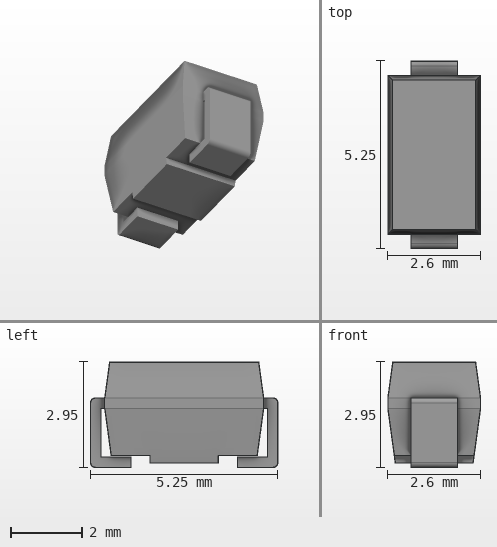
import cadquery as cq
import math

body_width = 2.6
body_length = 4.45
body_top = 2.95
body_bottom = 0.33
belt_bottom = 1.65
draft_angle = 7.8
draft_slope = math.tan(math.radians(draft_angle))

pad_length = 1.915
pad_bottom = 0.125

lead_span = 5.25
lead_width = 1.31
lead_thickness = 0.3
lead_foot_length = 1.14
lead_bend_radius = 0.14
belt_top = belt_bottom + lead_thickness


def drafted_block(start, end):
    """Block with the full body section at height start, narrowing towards height end."""
    inset = 2 * abs(end - start) * draft_slope
    return (
        cq.Workplane("XY", origin=(0, 0, start))
        .rect(body_width, body_length)
        .workplane(offset=end - start)
        .rect(body_width - inset, body_length - inset)
        .loft(combine=True)
    )


def body():
    """Straight belt between two halves that taper away from it."""
    belt = (
        cq.Workplane("XY", origin=(0, 0, belt_bottom))
        .rect(body_width, body_length)
        .extrude(lead_thickness)
    )
    upper_half = drafted_block(belt_top, body_top)
    lower_half = drafted_block(belt_bottom, body_bottom)
    return belt.union(upper_half).union(lower_half)


def standoff_pad():
    """Pad whose sides continue the body taper and whose ends are upright."""
    middle = (
        cq.Workplane("XY", origin=(0, 0, pad_bottom))
        .rect(body_width, pad_length)
        .extrude(belt_bottom - pad_bottom)
    )
    return drafted_block(belt_bottom, pad_bottom).intersect(middle)


def lead():
    """C-shaped lead at the -Y end, leaving the belt and folding under the body."""
    outer_y = -lead_span / 2
    inner_y = outer_y + lead_thickness
    body_end_y = -body_length / 2
    foot_end_y = outer_y + lead_foot_length
    profile = [
        (body_end_y, belt_top),
        (outer_y, belt_top),
        (outer_y, 0),
        (foot_end_y, 0),
        (foot_end_y, lead_thickness),
        (inner_y, lead_thickness),
        (inner_y, belt_bottom),
        (body_end_y, belt_bottom),
    ]
    return (
        cq.Workplane("YZ")
        .polyline(profile)
        .close()
        .extrude(lead_width / 2, both=True)
        .faces("<Y")
        .edges("|X")
        .fillet(lead_bend_radius)
    )


front_lead = lead()
back_lead = front_lead.mirror("XZ")
result = body().union(standoff_pad()).union(front_lead).union(back_lead)